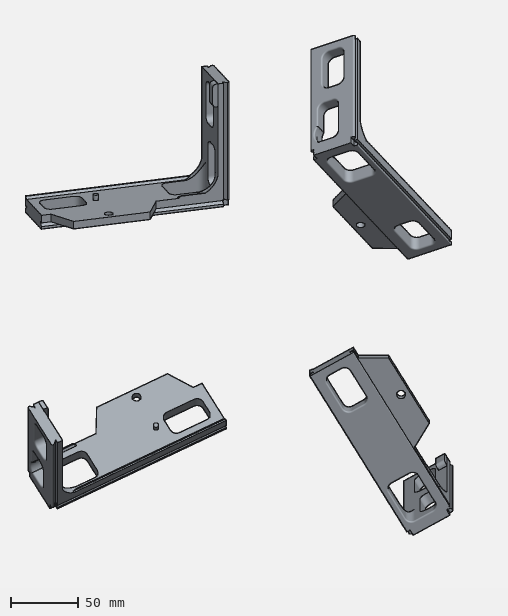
import cadquery as cq
import math

length = 148.1
height = 99.0
width = 37.6
total_width = 57.2

groove_depth = 3.0
foot_shelf = 5.2
foot_edge_fillet = 0.5
wall_shelf = 4.7
wall_edge_fillet = 1.2

foot_thickness = 11.3
wall_thickness = 9.2
wall_front = length - wall_thickness
gusset_reach = 14.4
gusset_radius = 19.3
gusset_top = foot_thickness + gusset_reach
gusset_front = wall_front - gusset_reach

left_lip_height = 1.8
left_lip_flat = 1.3
right_lip_height = 1.5
right_lip_flat = 0.9
right_lip_front = 107.8
right_lip_end_bevel = 1.8

plate_front = 7.4
plate_back = 90.2
plate_edge_angle = 30.0
screw_hole_diameter = 6.5
screw_hole_x = 50.5

window_radius = 5.0
window_edge_fillet = 1.2
foot_rear_window_x = (4.7, 30.0)
foot_rear_window_front = 104.4
foot_front_window_x = (8.5, 28.3)
foot_front_window_y = (7.0, 40.0)
wall_upper_window_x = (9.3, 27.4)
wall_upper_window_z = (58.8, 92.0)
wall_upper_window_radius = 5.3
wall_lower_window_x = (14.0, 31.1)
wall_lower_window_top = 45.8

round_opening_diameter = 19.8
round_opening_x = 24.0
round_opening_z = 18.5

pin_diameter = 3.9
pin_x = 20.3
pin_y = 48.6
pin_top = 15.5

pad_width = 7.4
pad_height = 18.4
pad_depth = 4.3
pad_fillet = 3.0


def dovetail_bar(plane, shelf, thickness, edge_fillet, bar_length):
    """Bar with a groove in each side and rounded outer edges; its outer face lies on v = 0."""
    bend = edge_fillet * (1 - math.sqrt(0.5))
    outline = (
        cq.Workplane(plane)
        .moveTo(edge_fillet, 0)
        .threePointArc((bend, bend), (0, edge_fillet))
        .lineTo(0, shelf - groove_depth)
        .lineTo(groove_depth, shelf)
        .lineTo(0, shelf)
        .lineTo(0, thickness)
        .lineTo(width, thickness)
        .lineTo(width, shelf)
        .lineTo(width - groove_depth, shelf)
        .lineTo(width, shelf - groove_depth)
        .lineTo(width, edge_fillet)
        .threePointArc((width - bend, bend), (width - edge_fillet, 0))
        .close()
    )
    return outline.extrude(bar_length)


def box(x_range, y_range, z_range):
    """Box between two limits on each axis."""
    (x0, x1), (y0, y1), (z0, z1) = x_range, y_range, z_range
    return cq.Workplane("XY").box(x1 - x0, y1 - y0, z1 - z0, centered=False).translate((x0, y0, z0))


def make_foot():
    plane = cq.Plane(origin=(0, length - wall_shelf, 0), xDir=(1, 0, 0), normal=(0, -1, 0))
    return dovetail_bar(plane, foot_shelf, foot_thickness, foot_edge_fillet, length - wall_shelf)


def make_wall():
    plane = cq.Plane(origin=(width, length, foot_shelf), xDir=(-1, 0, 0), normal=(0, 0, 1))
    return dovetail_bar(plane, wall_shelf, wall_thickness, wall_edge_fillet, height - foot_shelf)


def make_corner():
    """Block that closes the corner below the wall, as wide as the bottoms of the grooves."""
    return box((groove_depth, width - groove_depth), (length - wall_shelf, length), (0, foot_shelf))


def make_gusset():
    """Concave brace between foot and wall, over the full width."""
    half_chord = gusset_reach * math.sqrt(0.5)
    sag = gusset_radius - math.sqrt(gusset_radius**2 - half_chord**2)
    middle = gusset_reach / 2 - sag * math.sqrt(0.5)
    return (
        cq.Workplane("YZ")
        .moveTo(wall_front, foot_thickness)
        .lineTo(wall_front, gusset_top)
        .threePointArc((wall_front - middle, foot_thickness + middle), (gusset_front, foot_thickness))
        .close()
        .extrude(width)
    )


def make_left_lip():
    return (
        cq.Workplane("XZ")
        .moveTo(0, foot_thickness)
        .lineTo(left_lip_flat + left_lip_height, foot_thickness)
        .lineTo(left_lip_flat, foot_thickness + left_lip_height)
        .lineTo(0, foot_thickness + left_lip_height)
        .close()
        .extrude(-wall_front)
    )


def make_right_lip():
    """Short lip that ends in the gusset, with its front end bevelled."""
    lip_top = foot_thickness + right_lip_height
    across = (
        cq.Workplane("XZ")
        .moveTo(width, foot_thickness)
        .lineTo(width - right_lip_flat - right_lip_height, foot_thickness)
        .lineTo(width - right_lip_flat, lip_top)
        .lineTo(width, lip_top)
        .close()
        .extrude(-wall_front)
    )
    along = (
        cq.Workplane("YZ")
        .moveTo(right_lip_front, foot_thickness)
        .lineTo(right_lip_front + right_lip_end_bevel, lip_top)
        .lineTo(wall_front, lip_top)
        .lineTo(wall_front, foot_thickness)
        .close()
        .extrude(width)
    )
    return across.intersect(along)


def make_side_plate():
    edge_run = (total_width - width) * math.tan(math.radians(plate_edge_angle))
    return (
        cq.Workplane("XY", origin=(0, 0, foot_shelf))
        .moveTo(width / 2, plate_front)
        .lineTo(width, plate_front)
        .lineTo(total_width, plate_front + edge_run)
        .lineTo(total_width, plate_back - edge_run)
        .lineTo(width, plate_back)
        .lineTo(width / 2, plate_back)
        .close()
        .extrude(foot_thickness - foot_shelf)
    )


def foot_window(x_range, y_range):
    """Cutter for a rounded window through the foot, and through the gusset above it."""
    return box(x_range, y_range, (0, gusset_top)).edges("|Z").fillet(window_radius)


def wall_window(x_range, z_range, radius):
    """Cutter for a rounded window through the wall."""
    return box(x_range, (wall_front, length), z_range).edges("|Y").fillet(radius)


def round_opening():
    """Cutter for the right half of the round opening, flat where it meets the foot."""
    cylinder = (
        cq.Workplane("XZ", origin=(round_opening_x, gusset_front, round_opening_z))
        .circle(round_opening_diameter / 2)
        .extrude(gusset_front - length)
    )
    right_half = box((round_opening_x, width), (gusset_front, length), (foot_thickness, height))
    return cylinder.intersect(right_half)


def round_window_edges(body, face_selector):
    """Round the edges of the windows on an outer face of the bracket."""
    face = body.faces(face_selector).val()
    edges = [edge for wire in face.innerWires() for edge in wire.Edges()]
    return body.newObject(edges).fillet(window_edge_fillet)


def make_bracket():
    body = make_foot()
    for added in (make_wall(), make_corner(), make_gusset(), make_left_lip(),
                  make_right_lip(), make_side_plate()):
        body = body.union(added)
    windows = [
        foot_window(foot_rear_window_x, (foot_rear_window_front, wall_front)),
        foot_window(foot_front_window_x, foot_front_window_y),
        wall_window(wall_upper_window_x, wall_upper_window_z, wall_upper_window_radius),
        wall_window(wall_lower_window_x, (foot_thickness, wall_lower_window_top), window_radius),
        round_opening(),
    ]
    for window in windows:
        body = body.cut(window)
    body = round_window_edges(body, "<Z")
    body = round_window_edges(body, ">Y")
    screw_hole = cq.Workplane("XY").center(screw_hole_x, pin_y).circle(screw_hole_diameter / 2)
    return body.cut(screw_hole.extrude(foot_thickness))


def make_pin():
    return (
        cq.Workplane("XY", origin=(pin_x, pin_y, foot_thickness))
        .circle(pin_diameter / 2)
        .extrude(pin_top - foot_thickness)
    )


def make_pad():
    """Stop pad on the upper right corner of the wall, with its two front edges rounded."""
    pad = box((width - pad_width, width), (wall_front - pad_depth, wall_front), (height - pad_height, height))
    return pad.faces("<Y").edges("|X").fillet(pad_fillet)


bracket = make_bracket()
pin = make_pin()
pad = make_pad()

result = cq.Compound.makeCompound([bracket.val(), pin.val(), pad.val()])